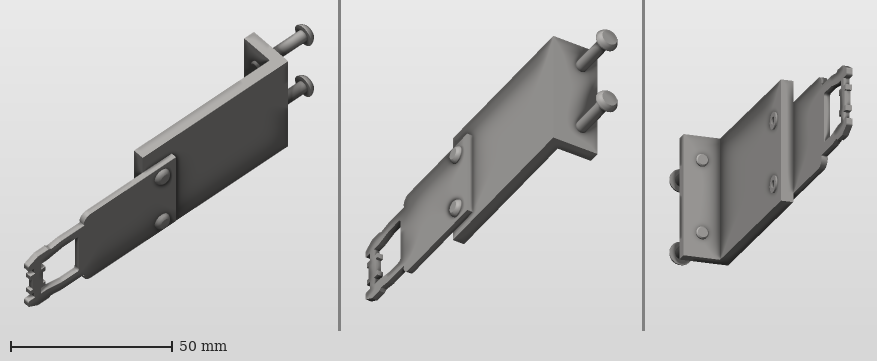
import cadquery as cq


BRACKET_WIDTH = 16.0
BRACKET_LENGTH = 60.1
BRACKET_HEIGHT = 40.0
BRACKET_THICKNESS = 4.0

PLATE_THICKNESS = 2.0
PLATE_WIDTH = 30.0
PLATE_OVERLAP = 12.0
PLATE_OVERHANG = 49.0
PLATE_DROP = 2.0
SHOULDER_TO_TIP = 22.8
SHOULDER_RADIUS = 3.0
RELIEF_RADIUS = 0.32

FINGER_OUTER = 11.5
FINGER_TAPER_START = 13.6
FINGER_TAPER_END = 9.5
FINGER_TAPER_DEPTH = 0.6
FINGER_PAD_START = 8.3
TIP_BEVEL_LENGTH = 4.0
TIP_BEVEL_DEPTH = 2.1
TIP_RADIUS = 0.8
WINDOW_DEPTH = 21.0
WINDOW_RADIUS = 0.9
WINDOW_HALF = 8.1
WINDOW_TAPER_START = 14.3
WINDOW_TAPER_END = 8.1
WINDOW_MOUTH_HALF = 7.0

CROSSBAR_TO_TIP = 4.0
NECK_WIDTH = 2.4
CORE_WIDTH = 4.0
FLANGE_WIDTH = 6.3
FLANGE_OUTER = 4.3
FLANGE_INNER = 2.5

HEAD_BULGE = 0.1

HEAD_RIM = 0.4

BOLT_SPACING = 24.0
BOLT_RADIUS = 2.0
BOLT_LENGTH = 20.1
BOLT_PROTRUSION = 1.0
BOLT_TIP_CHAMFER = 0.4
BOLT_HEAD_RADIUS = 3.8
BOLT_HEAD_TOP_RADIUS = 2.7
BOLT_HEAD_HEIGHT = 2.1

SCREW_SPACING = 21.0
SCREW_END_DISTANCE = 6.0
SCREW_RADIUS = 1.3
SCREW_HEAD_RADIUS = 2.9
SCREW_HEAD_TOP_RADIUS = 1.9
SCREW_HEAD_HEIGHT = 1.6
RING_NUT_RADIUS = 2.8
RING_NUT_THICKNESS = 0.57

TIP_Y = -BRACKET_LENGTH - PLATE_OVERHANG
PLATE_LENGTH = PLATE_OVERLAP + PLATE_OVERHANG
PLATE_X = BRACKET_WIDTH
LONG_LEG_X = BRACKET_WIDTH - BRACKET_THICKNESS
BOLT_X = LONG_LEG_X / 2
BOLT_HEAD_Y = BOLT_LENGTH - BOLT_PROTRUSION - BRACKET_THICKNESS
BOLT_HEIGHTS = [-BOLT_SPACING / 2, BOLT_SPACING / 2]
SCREW_LENGTH = PLATE_THICKNESS + BRACKET_THICKNESS
SCREW_Y = SCREW_END_DISTANCE - BRACKET_LENGTH
SCREW_HEIGHTS = [side * SCREW_SPACING / 2 - PLATE_DROP for side in (-1, 1)]


def rod_along_x(radius, x_start, x_end, y, z):
    rod = cq.Workplane("YZ", origin=(x_start, 0, 0)).center(y, z).circle(radius)
    return rod.extrude(x_end - x_start)


def make_button_screw(length, radius, head_radius, head_top_radius, head_height):
    """Domed flat-topped head above Z = 0 with a shank hanging below it."""
    dome_middle = (
        (head_radius + head_top_radius) / 2 + HEAD_BULGE,
        (HEAD_RIM + head_height) / 2 + HEAD_BULGE,
    )
    profile = cq.Workplane("XZ").moveTo(0, -length).lineTo(radius, -length).lineTo(radius, 0)
    profile = profile.lineTo(head_radius, 0).lineTo(head_radius, HEAD_RIM)
    profile = profile.threePointArc(dome_middle, (head_top_radius, head_height)).lineTo(0, head_height)
    return profile.close().revolve(360, (0, 0, 0), (0, 1, 0))


def make_bracket():
    outline = [
        (0, 0),
        (BRACKET_WIDTH, 0),
        (BRACKET_WIDTH, -BRACKET_LENGTH),
        (LONG_LEG_X, -BRACKET_LENGTH),
        (LONG_LEG_X, -BRACKET_THICKNESS),
        (0, -BRACKET_THICKNESS),
    ]
    bracket = cq.Workplane("XY").polyline(outline).close().extrude(BRACKET_HEIGHT / 2, both=True)
    for z in BOLT_HEIGHTS:
        hole = cq.Workplane("XZ").center(BOLT_X, z).circle(BOLT_RADIUS).extrude(BRACKET_THICKNESS)
        bracket = bracket.cut(hole)
    for z in SCREW_HEIGHTS:
        bracket = bracket.cut(rod_along_x(SCREW_RADIUS, LONG_LEG_X, BRACKET_WIDTH, SCREW_Y, z))
    return bracket


def plate_sketch():
    """Sketch plane with its origin at the finger tips on the plate's centre line."""
    return cq.Workplane("YZ", origin=(PLATE_X, TIP_Y, -PLATE_DROP))


def plate_block(y_start, y_end, z_start, z_end):
    block = plate_sketch().moveTo(y_start, z_start).lineTo(y_end, z_start)
    return block.lineTo(y_end, z_end).lineTo(y_start, z_end).close().extrude(PLATE_THICKNESS)


def make_finger(side):
    outline = [
        (WINDOW_DEPTH, WINDOW_HALF),
        (SHOULDER_TO_TIP, WINDOW_HALF),
        (SHOULDER_TO_TIP, FINGER_OUTER),
        (FINGER_TAPER_START, FINGER_OUTER),
        (FINGER_TAPER_END, FINGER_OUTER - FINGER_TAPER_DEPTH),
        (FINGER_PAD_START, FINGER_OUTER),
        (TIP_BEVEL_LENGTH, FINGER_OUTER),
        (0, FINGER_OUTER - TIP_BEVEL_DEPTH),
        (0, WINDOW_MOUTH_HALF),
        (WINDOW_TAPER_END, WINDOW_MOUTH_HALF),
        (WINDOW_TAPER_START, WINDOW_HALF),
    ]
    mirrored = [(y, side * z) for y, z in outline]
    finger = plate_sketch().polyline(mirrored).close().extrude(PLATE_THICKNESS)
    tip_corners = finger.edges("|X and <Y")
    return tip_corners.fillet(TIP_RADIUS)


def make_palm():
    """Wide end of the plate, reaching between the fingers to the bottom of the window."""
    palm = plate_block(SHOULDER_TO_TIP, PLATE_LENGTH, -PLATE_WIDTH / 2, PLATE_WIDTH / 2)
    palm = palm.edges("|X and <Y").fillet(SHOULDER_RADIUS)
    web_start = WINDOW_DEPTH - WINDOW_RADIUS
    return palm.union(plate_block(web_start, SHOULDER_TO_TIP, -FINGER_OUTER, FINGER_OUTER))


def make_shoulder_relief(side):
    """Small round notch where a finger's outer edge meets the shoulder."""
    relief = plate_sketch().center(SHOULDER_TO_TIP, side * (FINGER_OUTER + RELIEF_RADIUS))
    return relief.circle(RELIEF_RADIUS).extrude(PLATE_THICKNESS)


def make_window_end():
    window = plate_block(WINDOW_TAPER_START, WINDOW_DEPTH, -WINDOW_HALF, WINDOW_HALF)
    return window.edges("|X and >Y").fillet(WINDOW_RADIUS)


def make_crossbar():
    def bar(width, z_start, z_end):
        return plate_block(CROSSBAR_TO_TIP - width / 2, CROSSBAR_TO_TIP + width / 2, z_start, z_end)

    crossbar = bar(NECK_WIDTH, -WINDOW_MOUTH_HALF, WINDOW_MOUTH_HALF)
    crossbar = crossbar.union(bar(CORE_WIDTH, -FLANGE_OUTER, FLANGE_OUTER))
    for side in (-1, 1):
        crossbar = crossbar.union(bar(FLANGE_WIDTH, side * FLANGE_INNER, side * FLANGE_OUTER))
    return crossbar


def make_gripper():
    gripper = make_palm()
    for side in (-1, 1):
        gripper = gripper.union(make_finger(side)).cut(make_shoulder_relief(side))
    gripper = gripper.cut(make_window_end()).union(make_crossbar())
    for z in SCREW_HEIGHTS:
        gripper = gripper.cut(rod_along_x(SCREW_RADIUS, PLATE_X, PLATE_X + PLATE_THICKNESS, SCREW_Y, z))
    return gripper


def make_bolt(z):
    """Long bolt along Y, with its head at the +Y end and a chamfered tip."""
    bolt = make_button_screw(
        BOLT_LENGTH, BOLT_RADIUS, BOLT_HEAD_RADIUS, BOLT_HEAD_TOP_RADIUS, BOLT_HEAD_HEIGHT
    )
    bolt = bolt.faces("<Z").chamfer(BOLT_TIP_CHAMFER)
    return bolt.rotate((0, 0, 0), (1, 0, 0), -90).translate((BOLT_X, BOLT_HEAD_Y, z))


def make_screw(z):
    """Short screw along X, with its head on the gripper plate and its tip level with the bracket face."""
    screw = make_button_screw(
        SCREW_LENGTH, SCREW_RADIUS, SCREW_HEAD_RADIUS, SCREW_HEAD_TOP_RADIUS, SCREW_HEAD_HEIGHT
    )
    return screw.rotate((0, 0, 0), (0, 1, 0), 90).translate((PLATE_X + PLATE_THICKNESS, SCREW_Y, z))


def make_ring_nut(z):
    """Thin round nut lying on the inner face of the long leg, around the screw hole."""
    x_start = LONG_LEG_X - RING_NUT_THICKNESS
    ring_nut = rod_along_x(RING_NUT_RADIUS, x_start, LONG_LEG_X, SCREW_Y, z)
    return ring_nut.cut(rod_along_x(SCREW_RADIUS, x_start, LONG_LEG_X, SCREW_Y, z))


bracket = make_bracket()
gripper = make_gripper()
bolts = [make_bolt(z).val() for z in BOLT_HEIGHTS]
screws = [make_screw(z).val() for z in SCREW_HEIGHTS]
ring_nuts = [make_ring_nut(z).val() for z in SCREW_HEIGHTS]

result = cq.Compound.makeCompound([bracket.val(), gripper.val(), *bolts, *screws, *ring_nuts])